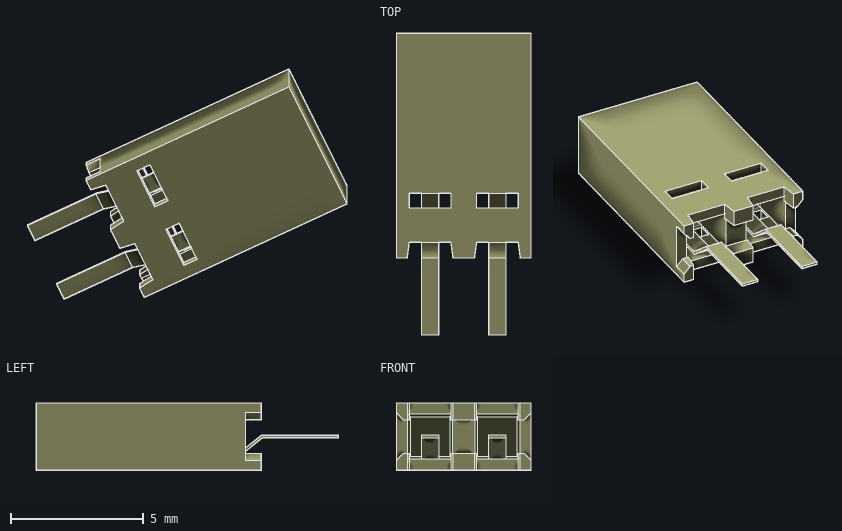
import cadquery as cq
import math

total_length = 11.4
pitch = 2.54
cell_count = 2
housing_width = cell_count * pitch
housing_height = 2.54
housing_length = 8.49
cell_centers = [(i - (cell_count - 1) / 2) * pitch for i in range(cell_count)]

tooth_length = 0.59
tooth_height = 0.64
tooth_gap_front_width = 1.72
tooth_gap_back_width = 1.56
corner_cut_width = 0.25
corner_cut_height = 0.27

cavity_size = 1.69
cavity_end_size = 1.49
cavity_straight_depth = 2.03
cavity_taper_length = 0.31

window_front = 1.89
window_length = 0.55
window_width = tooth_gap_back_width

contact_width = 0.66
contact_thickness = 0.1
contact_slope = math.radians(39)
contact_seat = -cavity_size / 2


def make_housing():
    """Plain block with the front end opened between the upper and lower teeth."""
    block = cq.Workplane("XY").box(housing_width, housing_length, housing_height, centered=(True, False, True))
    half_width = housing_width / 2
    half_opening = housing_height / 2 - tooth_height
    cut_x = half_width - corner_cut_width
    cut_z = half_opening + corner_cut_height
    opening = (
        cq.Workplane("XZ")
        .polyline([
            (-cut_x, half_opening),
            (cut_x, half_opening),
            (half_width, cut_z),
            (half_width, -cut_z),
            (cut_x, -half_opening),
            (-cut_x, -half_opening),
            (-half_width, -cut_z),
            (-half_width, cut_z),
        ])
        .close()
        .extrude(-tooth_length)
    )
    return block.cut(opening)


def make_tooth_gap(x):
    """Gap between neighbouring teeth, narrowing towards the back."""
    half_front = tooth_gap_front_width / 2
    half_back = tooth_gap_back_width / 2
    return (
        cq.Workplane("XY")
        .polyline([
            (x - half_front, 0),
            (x + half_front, 0),
            (x + half_back, tooth_length),
            (x - half_back, tooth_length),
        ])
        .close()
        .extrude(housing_height / 2, both=True)
    )


def make_cavity(x):
    """Square pocket that narrows just before its closed end."""
    straight = (
        cq.Workplane("XZ", origin=(x, tooth_length, 0))
        .rect(cavity_size, cavity_size)
        .extrude(-cavity_straight_depth)
    )
    taper = (
        cq.Workplane("XZ", origin=(x, tooth_length + cavity_straight_depth, 0))
        .rect(cavity_size, cavity_size)
        .workplane(offset=-cavity_taper_length)
        .rect(cavity_end_size, cavity_end_size)
        .loft(ruled=True)
    )
    return straight.union(taper)


def make_window(x):
    """Rectangular opening through the top and bottom walls."""
    return (
        cq.Workplane("XY")
        .box(window_width, window_length, housing_height, centered=(True, False, True))
        .translate((x, window_front, 0))
    )


def make_contact(x):
    """Strip lying on the cavity floor, stepping up to the middle plane and out of the front."""
    tip = housing_length - total_length
    end = tooth_length + cavity_straight_depth + cavity_taper_length
    tail_bottom = -contact_thickness / 2
    tail_top = contact_thickness / 2
    bend_shift = contact_thickness * math.tan(contact_slope / 2)
    seat_bend = (tail_top - contact_thickness - contact_seat) / math.tan(contact_slope) - bend_shift
    return (
        cq.Workplane("YZ", origin=(x, 0, 0))
        .polyline([
            (tip, tail_bottom),
            (-bend_shift, tail_bottom),
            (seat_bend, contact_seat),
            (end, contact_seat),
            (end, contact_seat + contact_thickness),
            (seat_bend + bend_shift, contact_seat + contact_thickness),
            (0, tail_top),
            (tip, tail_top),
        ])
        .close()
        .extrude(contact_width / 2, both=True)
    )


result = make_housing()
for cell_x in cell_centers:
    result = result.cut(make_tooth_gap(cell_x))
    result = result.cut(make_cavity(cell_x))
    result = result.cut(make_window(cell_x))
for cell_x in cell_centers:
    result = result.union(make_contact(cell_x))